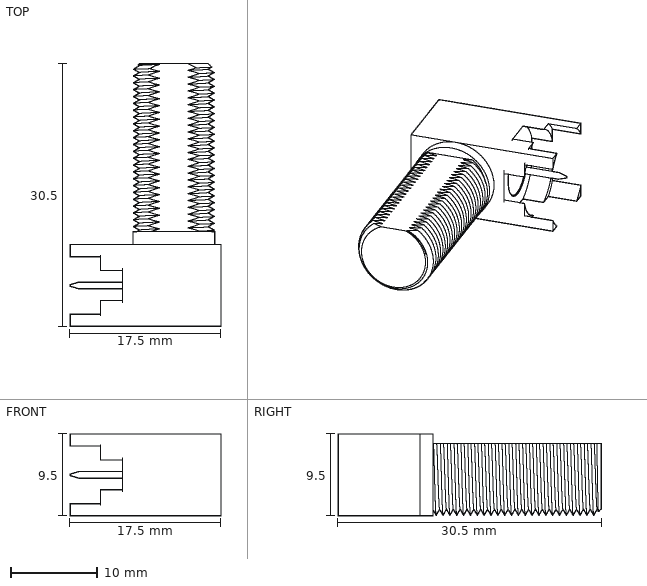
import cadquery as cq
import math


BLOCK_WIDTH = 9.5
HALF_WIDTH = BLOCK_WIDTH / 2
OVERALL_LENGTH = 17.5
BACK_X = 5.5
TIP_X = BACK_X - OVERALL_LENGTH
LEG_LENGTH = 3.5
FLOOR_DEPTH = 6.05
FLOOR_X = TIP_X + FLOOR_DEPTH
LEG_BORE_RADIUS = 5.8
STEP_BORE_RADIUS = 5.05

INSULATOR_RADIUS = 3.1
INSULATOR_LENGTH = 4.0
SEAT_CHAMFER = 0.1

PIN_RADIUS = 0.4
PIN_TIP_RADIUS = 0.1
PIN_TAPER_LENGTH = 1.0

COLLAR_RADIUS = HALF_WIDTH
COLLAR_LENGTH = 1.5
COLLAR_END_Y = HALF_WIDTH + COLLAR_LENGTH
BARREL_LENGTH = 19.5
BARREL_END_Y = COLLAR_END_Y + BARREL_LENGTH
BARREL_END_RADIUS = 3.95
BARREL_FLAT_Z = 3.65

THREAD_PITCH = 25.4 / 32
THREAD_CREST_RADIUS = 4.7
THREAD_ROOT_RADIUS = 4.0
SPARE_TURNS = 2
CREST_SETBACK = 0.68


def x_cylinder(radius, start_x, length):
    """Cylinder along +X from start_x."""
    return cq.Workplane("YZ", origin=(start_x, 0, 0)).circle(radius).extrude(length)


def y_cylinder(radius, start_y, length):
    """Cylinder along +Y from start_y."""
    return cq.Workplane("XZ", origin=(0, start_y, 0)).circle(radius).extrude(-length)


def one_turn(radius, start_z):
    """Helical edge, one turn long, starting on the +X side."""
    helix = cq.Wire.makeHelix(THREAD_PITCH, THREAD_PITCH, radius, center=cq.Vector(0, 0, start_z))
    return helix.Edges()[0]


def end_step(start_z):
    """Flat radial face that joins the two ends of a helical end face."""
    outline = [
        (0, start_z),
        (THREAD_ROOT_RADIUS, start_z),
        (THREAD_CREST_RADIUS, start_z + THREAD_PITCH / 2),
        (THREAD_ROOT_RADIUS, start_z + THREAD_PITCH),
        (0, start_z + THREAD_PITCH),
    ]
    points = [cq.Vector(x, 0, z) for x, z in outline]
    return cq.Face.makeFromWires(cq.Wire.makePolygon(points, close=True))


def helical_end(root, start_z):
    """Ruled face between one turn of the root and the axis."""
    axis = cq.Edge.makeLine(cq.Vector(0, 0, start_z), cq.Vector(0, 0, start_z + THREAD_PITCH))
    return cq.Face.makeRuledSurface(axis, root)


def make_threaded_rod():
    """Right-handed V-threaded rod, longer than the barrel at both ends.

    It is wound along Z as a closed shell of flank faces, one pair per turn, and
    then turned onto the barrel axis.
    """
    turns = math.ceil(BARREL_LENGTH / THREAD_PITCH) + 2 * SPARE_TURNS
    end_levels = (0, turns * THREAD_PITCH)
    roots = [one_turn(THREAD_ROOT_RADIUS, turn * THREAD_PITCH) for turn in range(turns + 1)]
    faces = []
    for turn in range(turns):
        crest = one_turn(THREAD_CREST_RADIUS, (turn + 0.5) * THREAD_PITCH)
        faces.append(cq.Face.makeRuledSurface(roots[turn], crest))
        faces.append(cq.Face.makeRuledSurface(crest, roots[turn + 1]))
    for root, level in zip((roots[0], roots[-1]), end_levels):
        faces.append(helical_end(root, level))
        faces.append(end_step(level))
    rod = cq.Workplane(obj=cq.Solid.makeSolid(cq.Shell.makeShell(faces)).fix())
    start_y = BARREL_END_Y - CREST_SETBACK - (turns - SPARE_TURNS) * THREAD_PITCH
    return rod.rotate((0, 0, 0), (1, 0, 0), -90).translate((0, start_y, 0))


def make_barrel():
    envelope = (
        y_cylinder(COLLAR_RADIUS, COLLAR_END_Y, BARREL_LENGTH)
        .faces(">Y")
        .chamfer(COLLAR_RADIUS - BARREL_END_RADIUS)
    )
    above_flat = (
        cq.Workplane("XY", origin=(0, COLLAR_END_Y, BARREL_FLAT_Z))
        .box(2 * COLLAR_RADIUS, BARREL_LENGTH, COLLAR_RADIUS, centered=(True, False, False))
    )
    return envelope.cut(above_flat).intersect(make_threaded_rod())


def make_housing():
    block = cq.Workplane("YZ", origin=(TIP_X, 0, 0)).rect(BLOCK_WIDTH, BLOCK_WIDTH).extrude(OVERALL_LENGTH)
    block = block.cut(x_cylinder(LEG_BORE_RADIUS, TIP_X, LEG_LENGTH))
    block = block.cut(x_cylinder(STEP_BORE_RADIUS, TIP_X, FLOOR_DEPTH))
    seat_start = FLOOR_X + SEAT_CHAMFER
    block = block.cut(x_cylinder(INSULATOR_RADIUS, seat_start, INSULATOR_LENGTH))
    lead_in = cq.Solid.makeCone(
        INSULATOR_RADIUS + SEAT_CHAMFER, INSULATOR_RADIUS, SEAT_CHAMFER,
        cq.Vector(FLOOR_X, 0, 0), cq.Vector(1, 0, 0),
    )
    block = block.cut(cq.Workplane(obj=lead_in))
    collar = y_cylinder(COLLAR_RADIUS, HALF_WIDTH, COLLAR_LENGTH)
    return block.union(collar).union(make_barrel())


def make_insulator():
    start = FLOOR_X + SEAT_CHAMFER
    blank = x_cylinder(INSULATOR_RADIUS, start, INSULATOR_LENGTH)
    return blank.cut(x_cylinder(PIN_RADIUS, start, INSULATOR_LENGTH))


def make_pin():
    end_x = FLOOR_X + SEAT_CHAMFER + INSULATOR_LENGTH
    return (
        cq.Workplane("XY")
        .moveTo(TIP_X, 0)
        .lineTo(TIP_X, PIN_TIP_RADIUS)
        .lineTo(TIP_X + PIN_TAPER_LENGTH, PIN_RADIUS)
        .lineTo(end_x, PIN_RADIUS)
        .lineTo(end_x, 0)
        .close()
        .revolve(360, (0, 0, 0), (1, 0, 0))
    )


housing = make_housing()
insulator = make_insulator()
pin = make_pin()

result = cq.Compound.makeCompound([housing.val(), insulator.val(), pin.val()])